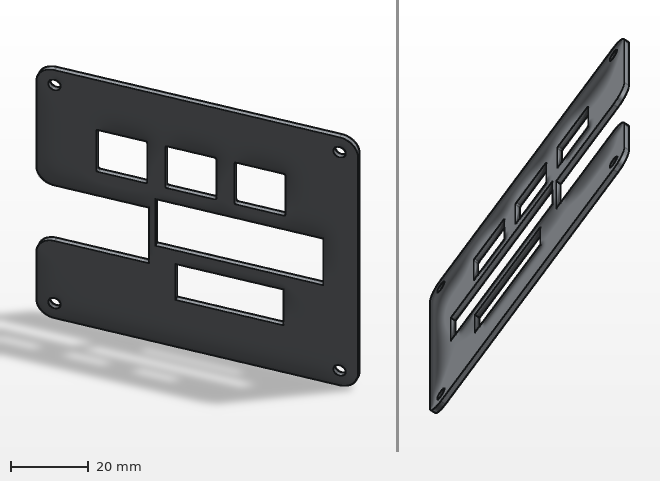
import cadquery as cq

WIDTH = 88.4
HEIGHT = 83.2
THICKNESS = 1.5
CORNER_RADIUS = 5.0

SCREW_DIAMETER = 3.4
SCREW_INSET = CORNER_RADIUS

KEY_COUNT = 3
KEY_SIZE = 14.0
KEY_PITCH = 19.0
KEY_CORNER_RADIUS = 0.5
KEY_ROW_X = -1.7
KEY_ROW_Z = 17.9

LARGE_WINDOW_WIDTH = 46.2
LARGE_WINDOW_HEIGHT = 15.6
LARGE_WINDOW_X = 11.6
LARGE_WINDOW_Z = -1.5
SMALL_WINDOW_WIDTH = 29.7
SMALL_WINDOW_HEIGHT = 12.0
SMALL_WINDOW_X = 8.9
SMALL_WINDOW_Z = -19.9

NOTCH_DEPTH = 31.0
NOTCH_HEIGHT = 18.6
NOTCH_Z = -6.4


def block(width, height, x, z):
    """Rectangular block through the plate thickness, centred at (x, z)."""
    return cq.Workplane("XY").box(width, THICKNESS, height).translate((x, 0, z))


def notched_plate():
    """Plate outline with the side notch; outer and mouth corners share one radius."""
    left = -WIDTH / 2
    notch = block(NOTCH_DEPTH, NOTCH_HEIGHT, left + NOTCH_DEPTH / 2, NOTCH_Z)
    plate = block(WIDTH, HEIGHT, 0, 0).cut(notch)
    mouth_and_left_corners = plate.faces("<X").edges("|Y")
    right_corners = plate.faces(">X").edges("|Y")
    return mouth_and_left_corners.add(right_corners).fillet(CORNER_RADIUS)


def screw_holes():
    """Cylinders for the four corner screws."""
    spacing_x = WIDTH - 2 * SCREW_INSET
    spacing_z = HEIGHT - 2 * SCREW_INSET
    return (
        cq.Workplane("XZ")
        .rect(spacing_x, spacing_z, forConstruction=True)
        .vertices()
        .circle(SCREW_DIAMETER / 2)
        .extrude(THICKNESS / 2, both=True)
    )


def key_opening(index):
    """Rounded square opening at one position of the key row."""
    x = KEY_ROW_X + (index - (KEY_COUNT - 1) / 2) * KEY_PITCH
    return block(KEY_SIZE, KEY_SIZE, x, KEY_ROW_Z).edges("|Y").fillet(KEY_CORNER_RADIUS)


large_window = block(LARGE_WINDOW_WIDTH, LARGE_WINDOW_HEIGHT, LARGE_WINDOW_X, LARGE_WINDOW_Z)
small_window = block(SMALL_WINDOW_WIDTH, SMALL_WINDOW_HEIGHT, SMALL_WINDOW_X, SMALL_WINDOW_Z)

result = notched_plate().cut(screw_holes()).cut(large_window).cut(small_window)
for key_index in range(KEY_COUNT):
    result = result.cut(key_opening(key_index))